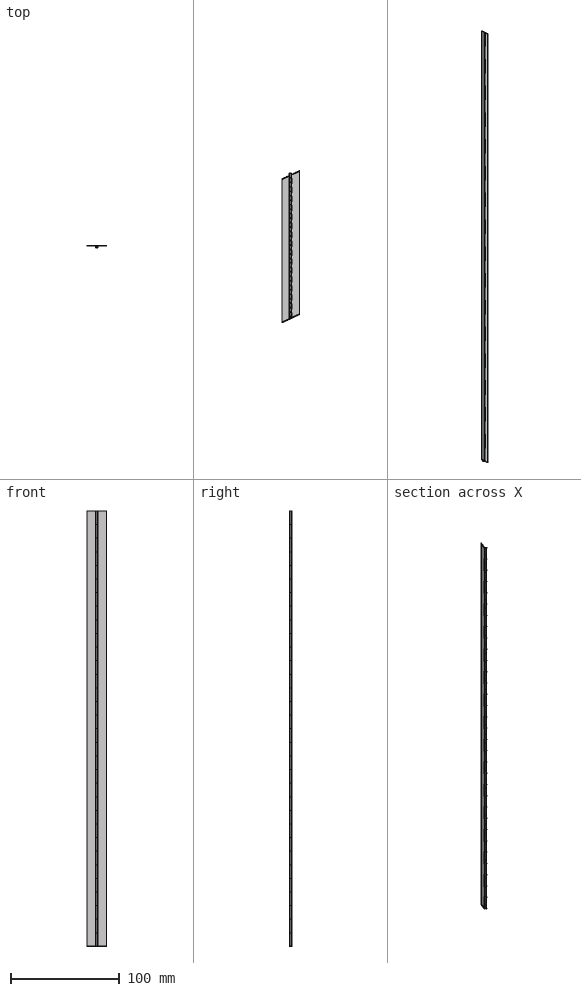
import cadquery as cq

hinge_length = 400.0
hinge_width = 18.0
barrel_diameter = 2.5
leaf_thickness = 0.6
knuckle_count = 32

barrel_radius = barrel_diameter / 2
pin_diameter = barrel_diameter - 2 * leaf_thickness
knuckle_length = hinge_length / knuckle_count
half_width = hinge_width / 2
leaf_back = barrel_radius
leaf_front = leaf_back - leaf_thickness


def make_strip(side, inner_edge, outer_edge, start, length):
    """Flat plate on one side (-1 or +1) of the pin, between two distances from it."""
    return (
        cq.Workplane("XY", origin=(0, 0, start))
        .moveTo(side * inner_edge, leaf_front)
        .lineTo(side * outer_edge, leaf_front)
        .lineTo(side * outer_edge, leaf_back)
        .lineTo(side * inner_edge, leaf_back)
        .close()
        .extrude(length)
    )


def make_knuckle(side, start):
    """Rolled barrel around the pin, tangent to the back of its leaf."""
    section = cq.Workplane("XY", origin=(0, 0, start))
    barrel = section.circle(barrel_radius).extrude(knuckle_length)
    bore = section.circle(pin_diameter / 2).extrude(knuckle_length)
    root = make_strip(side, 0, barrel_radius, start, knuckle_length)
    return barrel.union(root).cut(bore)


def make_leaf(side, first_knuckle):
    """One leaf: a full-length plate clear of the barrel, with every second knuckle."""
    leaf = make_strip(side, barrel_radius, half_width, 0, hinge_length)
    for index in range(first_knuckle, knuckle_count, 2):
        leaf = leaf.union(make_knuckle(side, index * knuckle_length))
    return leaf


def make_pin():
    """Straight pin that fills the knuckle bores from end to end."""
    return cq.Workplane("XY").circle(pin_diameter / 2).extrude(hinge_length)


left_leaf = make_leaf(side=-1, first_knuckle=0)
right_leaf = make_leaf(side=1, first_knuckle=1)
pin = make_pin()

result = cq.Compound.makeCompound([left_leaf.val(), right_leaf.val(), pin.val()])